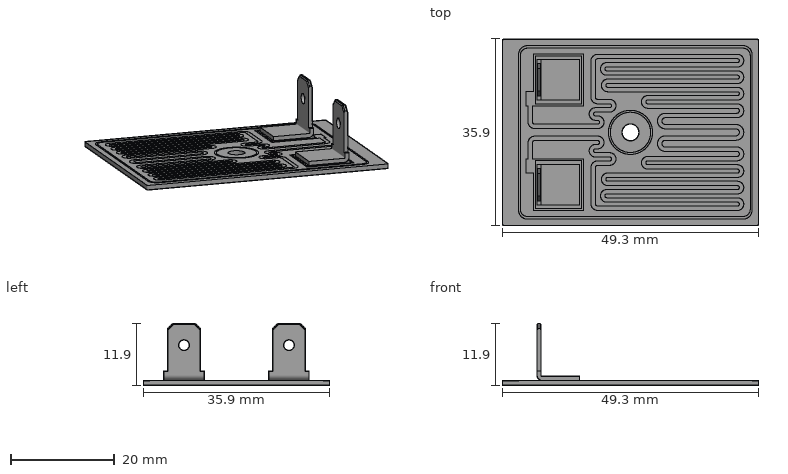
import cadquery as cq
import math


plate_length = 49.3
plate_width = 35.85
plate_thickness = 0.92
plate_corner = 0.25
hole_diameter = 3.2

layer_thickness = 0.005
glaze_left = -21.55
glaze_right = 23.4
glaze_width = 33.4
glaze_corner = 1.75
glaze_side_inset = 0.35
glaze_end_inset = 0.5
glaze_opening_diameter = 7.76
glaze_opening_step = 0.37

track_width = 0.85
row_pitch = 1.59
first_row_y = 14.6
middle_row_y = 1.1
short_row_y = 3.25
corner_radius = 0.9
right_edge_x = 21.8
long_row_left_edges = (-5.78, -5.6, 2.1)
short_row_left_edge = 5.2
zigzag_turns = ((-5.1, 1), (-7.95, -1), (-2.8, 1))
riser_x = -7.2
lead_x = -19.3
lead_row_y = 1.15

pad_left = -18.65
pad_right = -9.05
pad_top = 15.05
pad_bottom = 5.1
ear_left = -20.1
ear_top = 7.85
solder_margin = 0.36

terminal_y = 10.1
terminal_left = -18.0
foot_length = 8.2
foot_width = 7.8
blade_width = 6.3
sheet_thickness = 0.8
inner_bend_radius = 0.15
overall_height = 11.9
shoulder_z = 2.72
blade_hole_diameter = 2.0
blade_hole_z = 7.72
tip_chamfer = 1.0
tip_bevel = 0.22

glaze_top_z = plate_thickness + 2 * layer_thickness
track_top_z = glaze_top_z + layer_thickness
solder_top_z = track_top_z + layer_thickness


def box(x_min, x_max, y_min, y_max, z_min, z_max):
    size = (x_max - x_min, y_max - y_min, z_max - z_min)
    return cq.Workplane("XY").box(*size, centered=False).translate((x_min, y_min, z_min))


def glaze_layer(level):
    """Glaze layer 0 lies on the plate, layer 1 is smaller all round and lies on layer 0."""
    x_min = glaze_left + level * glaze_side_inset
    x_max = glaze_right - level * glaze_side_inset
    half_width = glaze_width / 2 - level * glaze_end_inset
    z_min = plate_thickness + level * layer_thickness
    layer = box(x_min, x_max, -half_width, half_width, z_min, z_min + layer_thickness)
    layer = layer.edges("|Z").fillet(glaze_corner - level * glaze_side_inset)
    opening_radius = glaze_opening_diameter / 2 + level * glaze_opening_step
    opening = cq.Workplane("XY").circle(opening_radius).extrude(overall_height)
    return layer.cut(opening)


def make_plate():
    plate = cq.Workplane("XY").rect(plate_length, plate_width).extrude(plate_thickness)
    plate = plate.edges("|Z").fillet(plate_corner)
    for level in (0, 1):
        plate = plate.union(glaze_layer(level))
    hole = cq.Workplane("XY").circle(hole_diameter / 2).extrude(overall_height)
    return plate.cut(hole)


def u_turn(path, y_from, y_to, edge_x, side):
    """Run along row y_from, then turn back into row y_to; the turn's outer edge is at edge_x."""
    radius = abs(y_from - y_to) / 2
    center_x = edge_x - side * (radius + track_width / 2)
    apex = (center_x + side * radius, (y_from + y_to) / 2)
    return path.lineTo(center_x, y_from).threePointArc(apex, (center_x, y_to))


def corner(path, arrive, vertex, leave):
    """Round the square corner at vertex; arrive and leave are unit travel directions."""
    start = [v - corner_radius * a for v, a in zip(vertex, arrive)]
    end = [v + corner_radius * b for v, b in zip(vertex, leave)]
    inset = corner_radius * (1 - math.sqrt(0.5))
    middle = [v + inset * (b - a) for v, a, b in zip(vertex, arrive, leave)]
    return path.lineTo(*start).threePointArc(middle, end)


def half_track_path():
    up, down, left, right = (0, 1), (0, -1), (-1, 0), (1, 0)
    path = cq.Workplane("XY", origin=(0, 0, glaze_top_z)).moveTo(lead_x, pad_bottom)
    path = corner(path, down, (lead_x, lead_row_y), right)

    row_y = lead_row_y
    for edge_x, side in zigzag_turns:
        path = u_turn(path, row_y, row_y + row_pitch, edge_x, side)
        row_y += row_pitch
    path = corner(path, left, (riser_x, row_y), up)
    path = corner(path, up, (riser_x, first_row_y), right)

    row_y = first_row_y
    for left_edge_x in long_row_left_edges:
        path = u_turn(path, row_y, row_y - row_pitch, right_edge_x, 1)
        path = u_turn(path, row_y - row_pitch, row_y - 2 * row_pitch, left_edge_x, -1)
        row_y -= 2 * row_pitch

    path = u_turn(path, row_y, short_row_y, right_edge_x, 1)
    path = u_turn(path, short_row_y, middle_row_y, short_row_left_edge, -1)

    center_x = right_edge_x - track_width / 2 - middle_row_y
    diagonal = middle_row_y * math.sqrt(0.5)
    path = path.lineTo(center_x, middle_row_y)
    return path.threePointArc((center_x + diagonal, diagonal), (center_x + middle_row_y, 0))


def make_track():
    section = cq.Workplane("XZ", origin=(lead_x, pad_bottom, glaze_top_z + layer_thickness / 2))
    half = section.rect(track_width, layer_thickness).sweep(half_track_path())
    half = half.union(box(pad_left, pad_right, pad_bottom, pad_top, glaze_top_z, track_top_z))
    half = half.union(box(ear_left, pad_left, pad_bottom, ear_top, glaze_top_z, track_top_z))
    solder = box(
        pad_left + solder_margin,
        pad_right - solder_margin,
        pad_bottom + solder_margin,
        pad_top - solder_margin,
        track_top_z,
        solder_top_z,
    )
    half = half.union(solder)
    return half.union(half.mirror("XZ"))


def make_terminal(center_y):
    blade_right = terminal_left + sheet_thickness
    foot_top_z = solder_top_z + sheet_thickness
    foot_right = terminal_left + foot_length
    half_foot = foot_width / 2
    half_blade = blade_width / 2

    foot = box(terminal_left, foot_right, -half_foot, half_foot, solder_top_z, foot_top_z)
    strip = box(terminal_left, blade_right, -half_foot, half_foot, solder_top_z, shoulder_z)
    bent = foot.union(strip)
    bent = bent.edges("|Y").edges("<X and <Z").fillet(inner_bend_radius + sheet_thickness)
    inner_corner = cq.selectors.NearestToPointSelector((blade_right, 0, foot_top_z))
    bent = bent.edges(inner_corner).fillet(inner_bend_radius)

    blade = box(terminal_left, blade_right, -half_blade, half_blade, shoulder_z, overall_height)
    blade = blade.edges("|X and >Z").chamfer(tip_chamfer)
    tip_region = cq.selectors.BoxSelector(
        (terminal_left - sheet_thickness, -half_foot, overall_height - tip_chamfer),
        (blade_right + sheet_thickness, half_foot, overall_height + tip_chamfer),
    )
    blade = blade.edges(tip_region).edges("not |X").chamfer(tip_bevel)

    terminal = bent.union(blade)
    hole = cq.Workplane("YZ", origin=(terminal_left, 0, blade_hole_z))
    hole = hole.circle(blade_hole_diameter / 2).extrude(sheet_thickness)
    return terminal.cut(hole).translate((0, center_y, 0))


plate = make_plate()
track = make_track()
terminals = [make_terminal(side * terminal_y) for side in (-1, 1)]

result = cq.Compound.makeCompound([plate.val(), track.val(), *[t.val() for t in terminals]])